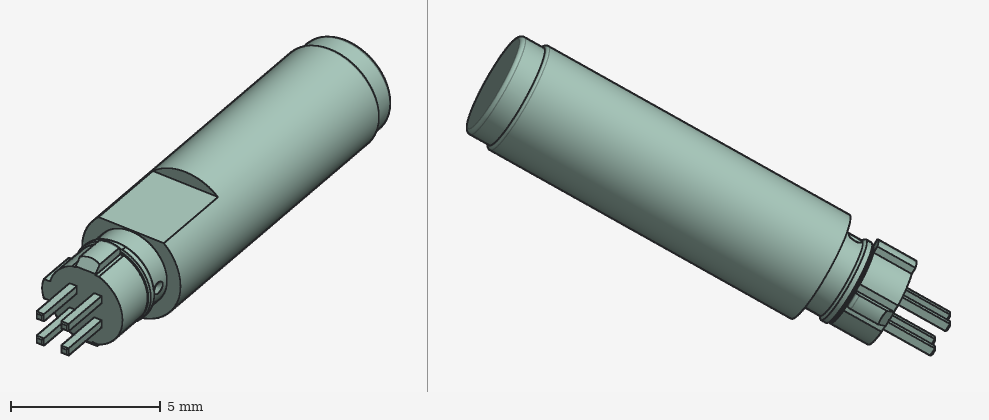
import cadquery as cq
import math


HOUSING_RADIUS = 2.0
HOUSING_LENGTH = 11.8
HOUSING_EDGE_ROUND = 0.1
CAP_RADIUS = 1.87
CAP_LENGTH = 0.9
CAP_EDGE_ROUND = 0.15

FLAT_HEIGHT = 1.5
FLAT_LENGTH = 3.2

NECK_RADIUS = 1.45
COLLAR_RADIUS = 1.55
COLLAR_REAR_BEVEL = COLLAR_RADIUS - NECK_RADIUS
COLLAR_FRONT_BEVEL = 0.06
COLLAR_START = 0.8
COLLAR_END = 1.16
HEAD_RADIUS = 1.5
HEAD_START = 1.22
HEAD_END = 2.7
HEAD_LENGTH = HEAD_END - HEAD_START
HEAD_FLAT_HEIGHT = 1.4

KEY_HEIGHT = 1.77
KEY_CROWN_RADIUS = 1.1
WIDE_KEY_WIDTH = 0.8
NARROW_KEY_WIDTH = 0.56
KEY_LEAD_CHAMFER = 0.32
KEY_BACK_ROUND = 0.12

DIMPLE_RADIUS = 0.25
DIMPLE_CONE_ANGLE = 118
DIMPLE_POSITION = 0.5

PIN_WIDTH = 0.3
PIN_LENGTH = 2.0
PIN_PITCH = 1.0
PIN_TIP_CHAMFER = 0.05


def cylinder(radius, y_start, y_end):
    """Cylinder on the Y axis running from y_start toward +Y to y_end."""
    return cq.Workplane("XZ", origin=(0, y_start, 0)).circle(radius).extrude(y_start - y_end)


def make_housing():
    body = cylinder(HOUSING_RADIUS, 0, HOUSING_LENGTH).faces(">Y").edges().fillet(HOUSING_EDGE_ROUND)
    cap = cylinder(CAP_RADIUS, HOUSING_LENGTH - CAP_LENGTH, HOUSING_LENGTH + CAP_LENGTH)
    return body.union(cap.faces(">Y").edges().fillet(CAP_EDGE_ROUND))


def make_neck():
    neck = cylinder(NECK_RADIUS, -HEAD_START, 0)
    collar = cylinder(COLLAR_RADIUS, -COLLAR_END, -COLLAR_START)
    collar = collar.faces(">Y").edges().chamfer(COLLAR_REAR_BEVEL)
    collar = collar.faces("<Y").edges().chamfer(COLLAR_FRONT_BEVEL)
    return neck.union(collar)


def cut_flat(part):
    """Remove everything above the flat, from the end of the flat to the end of the collar."""
    length = FLAT_LENGTH + COLLAR_END
    waste = cq.Workplane("XY").box(
        2 * HOUSING_RADIUS, length, HOUSING_RADIUS, centered=(True, False, False)
    )
    return part.cut(waste.translate((0, -COLLAR_END, FLAT_HEIGHT)))


def make_key(width, eased_ends):
    """Key pointing to +Z with an arched crown, optionally with a chamfered front and a rounded back."""
    half_width = width / 2
    shoulder = KEY_HEIGHT - KEY_CROWN_RADIUS + math.sqrt(KEY_CROWN_RADIUS**2 - half_width**2)
    key = (
        cq.Workplane("XZ", origin=(0, -HEAD_START, 0))
        .moveTo(-half_width, 0)
        .lineTo(-half_width, shoulder)
        .threePointArc((0, KEY_HEIGHT), (half_width, shoulder))
        .lineTo(half_width, 0)
        .close()
        .extrude(HEAD_LENGTH)
    )
    if not eased_ends:
        return key
    key = key.faces(">Y").edges(">Z").fillet(KEY_BACK_ROUND)
    lead_waste = (
        cq.Workplane("YZ")
        .moveTo(-HEAD_END, KEY_HEIGHT - KEY_LEAD_CHAMFER)
        .lineTo(-HEAD_END + KEY_LEAD_CHAMFER, KEY_HEIGHT)
        .lineTo(-HEAD_END, KEY_HEIGHT)
        .close()
        .extrude(half_width, both=True)
    )
    return key.cut(lead_waste)


def make_head():
    core = cylinder(HEAD_RADIUS, -HEAD_END, -HEAD_START)
    slab = cq.Workplane("XY").box(
        2 * HEAD_RADIUS, HEAD_LENGTH, 2 * HEAD_FLAT_HEIGHT, centered=(True, False, True)
    )
    head = core.intersect(slab.translate((0, -HEAD_END, 0)))
    keys = [
        (WIDE_KEY_WIDTH, True, 0),
        (WIDE_KEY_WIDTH, False, -90),
        (NARROW_KEY_WIDTH, True, 180),
    ]
    for width, eased_ends, angle in keys:
        head = head.union(make_key(width, eased_ends).rotate((0, 0, 0), (0, 1, 0), angle))
    return head


def make_dimples():
    """Matching conical recesses on the -X and +X sides of the neck."""
    depth = DIMPLE_RADIUS / math.tan(math.radians(DIMPLE_CONE_ANGLE / 2))
    dimple = (
        cq.Workplane("XY", origin=(-NECK_RADIUS, -DIMPLE_POSITION, 0))
        .lineTo(0, DIMPLE_RADIUS)
        .lineTo(depth, 0)
        .close()
        .revolve(360, (0, 0, 0), (1, 0, 0))
    )
    return dimple.union(dimple.mirror("YZ"))


def make_pins():
    return (
        cq.Workplane("XZ", origin=(0, -HEAD_END, 0))
        .rarray(PIN_PITCH, PIN_PITCH, 2, 2)
        .rect(PIN_WIDTH, PIN_WIDTH)
        .extrude(PIN_LENGTH)
        .faces("<Y")
        .edges()
        .chamfer(PIN_TIP_CHAMFER)
    )


shell = cut_flat(make_housing().union(make_neck()))
result = shell.cut(make_dimples()).union(make_head()).union(make_pins())